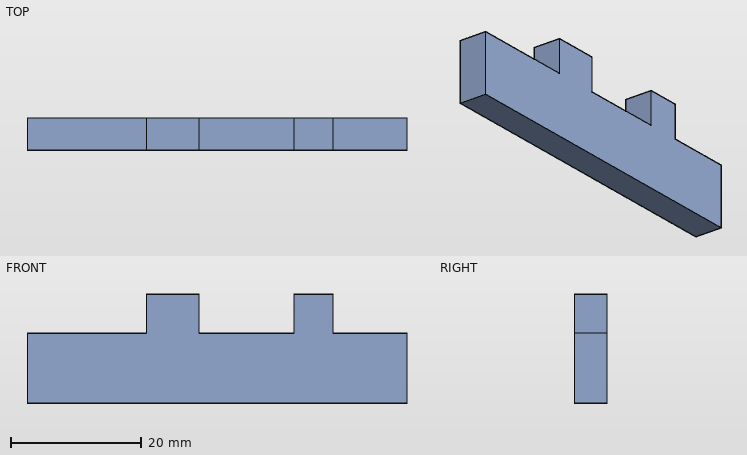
import cadquery as cq

bar_length = 58.4
thickness = 5.0
bar_height = 10.8

tab_height = 6.0
wide_tab_start = 18.3
wide_tab_width = 8.1
tab_gap = 14.6
narrow_tab_width = 6.0
narrow_tab_start = wide_tab_start + wide_tab_width + tab_gap


def block(start, width, height):
    """Full-thickness block rising from the bottom face, beginning at X = start."""
    return cq.Workplane("XY").box(width, thickness, height, centered=False).translate((start, 0, 0))


result = block(0, bar_length, bar_height)
for tab_start, tab_width in (
    (wide_tab_start, wide_tab_width),
    (narrow_tab_start, narrow_tab_width),
):
    result = result.union(block(tab_start, tab_width, bar_height + tab_height))

result = result.clean()